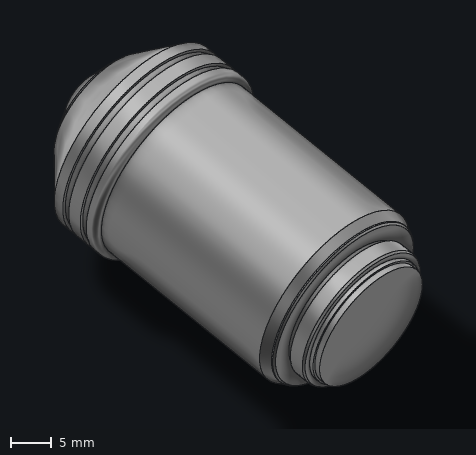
import cadquery as cq

length = 49.2
nose_cone_end = 2.4
shoulder_start = 3.0
band_start = 8.45
band_end = 15.6
body_chamfer_start = 42.85
body_lip_start = 44.15
body_end = 44.6
ring_start = 45.35
ring_end = 47.75
step_end = 48.35

nose_tip_radius = 3.55
nose_radius = 7.65
band_diameter = 28.0
band_radius = band_diameter / 2
body_radius = 13.0
body_lip_radius = 12.25
neck_radius = 9.7
ring_radius = 10.2
step_radius = 9.25
end_radius = 8.95

shoulder_radius = band_radius - (band_start - shoulder_start)

band_fillet = 0.75
body_lip_chamfer = 0.25
ring_chamfer_length = 0.35
ring_chamfer_depth = 0.15

groove_starts = (9.95, 12.95)
groove_width = 1.05
groove_depth = 0.45


def revolve_profile(points):
    """Revolve a closed (axial position, radius) outline about the X axis."""
    outline = cq.Workplane("XY").polyline(points).close()
    return outline.revolve(360, (0, 0, 0), (1, 0, 0))


def cylinder(start, end, radius):
    return cq.Workplane("YZ", origin=(start, 0, 0)).circle(radius).extrude(end - start)


def make_nose():
    return revolve_profile([
        (0, 0),
        (0, nose_tip_radius),
        (nose_cone_end, nose_radius),
        (shoulder_start, nose_radius),
        (shoulder_start, 0),
    ])


def make_shoulder():
    return revolve_profile([
        (shoulder_start, 0),
        (shoulder_start, shoulder_radius),
        (band_start, band_radius),
        (band_start, 0),
    ])


def make_band():
    band = cylinder(band_start, band_end, band_radius).edges(">X").fillet(band_fillet)
    for start in groove_starts:
        end = start + groove_width
        floor = cylinder(start, end, band_radius - groove_depth)
        band = band.cut(cylinder(start, end, band_radius).cut(floor))
    return band


def make_body():
    return revolve_profile([
        (band_end, 0),
        (band_end, body_radius),
        (body_chamfer_start, body_radius),
        (body_lip_start, body_lip_radius),
        (body_end - body_lip_chamfer, body_lip_radius),
        (body_end, body_lip_radius - body_lip_chamfer),
        (body_end, 0),
    ])


def make_rear_mount():
    """Neck, ring and two stepped diameters behind the body."""
    return revolve_profile([
        (body_end, 0),
        (body_end, neck_radius),
        (ring_start, neck_radius),
        (ring_start, ring_radius),
        (ring_end - ring_chamfer_length, ring_radius),
        (ring_end, ring_radius - ring_chamfer_depth),
        (ring_end, step_radius),
        (step_end, step_radius),
        (step_end, end_radius),
        (length, end_radius),
        (length, 0),
    ])


result = make_nose()
for section in (make_shoulder(), make_band(), make_body(), make_rear_mount()):
    result = result.union(section)